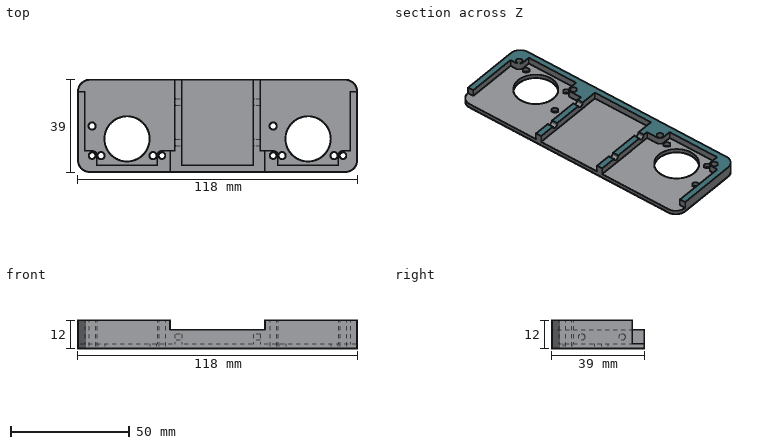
import cadquery as cq

length = 118.0
width = 39.0
height = 12.0
corner_radius = 5.1
wall = 3.0
floor = 2.0

step_height = 8.0
step_width = 40.0
middle_pocket_width = 30.2

divider_inner_x = middle_pocket_width / 2 + wall
bay_outer_x = length / 2 - wall
bay_front_y = 9.0

opening_x = 38.2
opening_y = 14.0
opening_diameter = 19.0
screw_row_y = 7.0
screw_offset = 14.8
screw_diameter = 2.7
pin_offset = 11.0
pin_diameter = 3.0
side_hole_y = 19.5

boss_radius = bay_front_y - screw_row_y
notch_width = 2 * (screw_offset - boss_radius)

cross_hole_diameter = 2.7
cross_hole_ys = (12.5, 29.6)
cross_hole_z = (floor + step_height) / 2


def block(x_min, x_max, y_min, y_max, z_min, z_max):
    """Box given by its limits along each axis."""
    size = (x_max - x_min, y_max - y_min, z_max - z_min)
    return cq.Workplane("XY").box(*size, centered=False).translate((x_min, y_min, z_min))


def make_body():
    """Rounded block with its middle and its back strip lowered."""
    body = block(-length / 2, length / 2, 0, width, 0, height)
    body = body.edges("|Z").fillet(corner_radius)
    body = body.cut(block(-step_width / 2, step_width / 2, 0, width, step_height, height))
    back_y = width - corner_radius
    return body.cut(block(-length / 2, length / 2, back_y, width, step_height, height))


def bay(side):
    """Pocket of one bay with its front notch; side is -1 (left) or 1 (right)."""
    bay_limits = sorted((side * divider_inner_x, side * bay_outer_x))
    pocket = block(*bay_limits, bay_front_y, width, floor, height)

    corner_limits = sorted((side * bay_outer_x, side * length / 2))
    pocket = pocket.union(block(*corner_limits, width - corner_radius, width, floor, height))

    left = side * opening_x - notch_width / 2
    right = left + notch_width
    diagonal = boss_radius * 0.5 ** 0.5
    left_screw = left - boss_radius
    right_screw = right + boss_radius
    notch = (
        cq.Workplane("XY", origin=(0, 0, floor))
        .moveTo(left, wall)
        .lineTo(right, wall)
        .lineTo(right, screw_row_y)
        .threePointArc((right_screw - diagonal, screw_row_y + diagonal), (right_screw, bay_front_y))
        .lineTo(left_screw, bay_front_y)
        .threePointArc((left_screw + diagonal, screw_row_y + diagonal), (left, screw_row_y))
        .close()
        .extrude(height - floor)
    )
    return pocket.union(notch)


def vertical_hole(x, y, diameter):
    """Cylinder through the full height."""
    return cq.Workplane("XY").center(x, y).circle(diameter / 2).extrude(height)


def bay_holes(side):
    """Large opening, front row of holes and one hole on the left of a bay."""
    x = side * opening_x
    holes = vertical_hole(x, opening_y, opening_diameter)
    for direction in (-1, 1):
        holes = holes.union(vertical_hole(x + direction * screw_offset, screw_row_y, screw_diameter))
        holes = holes.union(vertical_hole(x + direction * pin_offset, screw_row_y, pin_diameter))
    return holes.union(vertical_hole(x - screw_offset, side_hole_y, pin_diameter))


def cross_hole(y):
    """Cylinder along X through both dividers."""
    profile = cq.Workplane("YZ").center(y, cross_hole_z).circle(cross_hole_diameter / 2)
    return profile.extrude(divider_inner_x, both=True)


result = make_body()
half_pocket = middle_pocket_width / 2
result = result.cut(block(-half_pocket, half_pocket, wall, width, floor, height))
for side in (-1, 1):
    result = result.cut(bay(side)).cut(bay_holes(side))
for y in cross_hole_ys:
    result = result.cut(cross_hole(y))